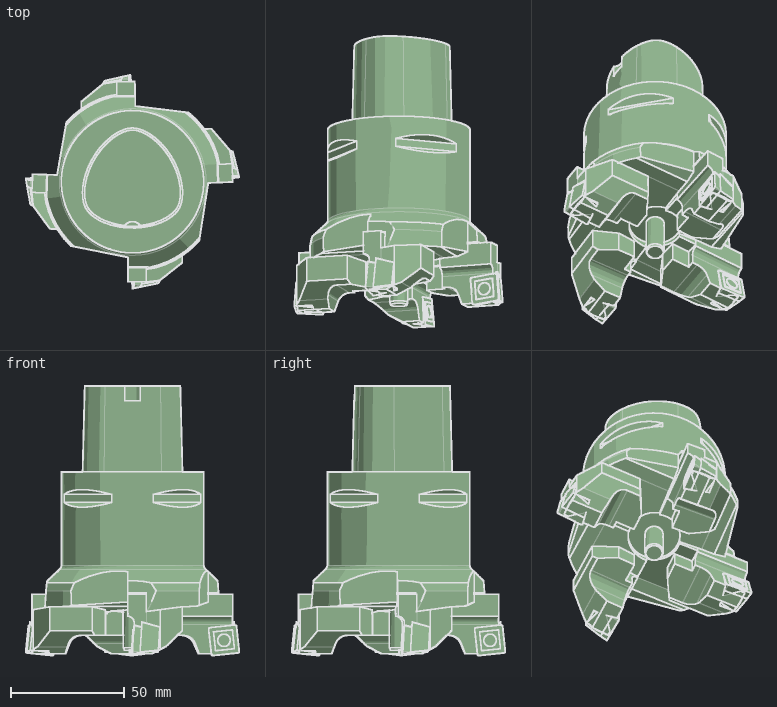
import cadquery as cq
import math

tooth_angles = [0.0, 92.4, 181.2, 268.2]
mean_pitch = 360 / len(tooth_angles)
gullet_angles = [11.3, 11.3, 8.2, 8.2]

shank_length = 38.0
shank_mean_radius = 22.12
shank_eccentricity = 1.65
shank_taper = 1 / 40
lobe_pitch = 120
lobe_half_angle = 37.0
spline_steps = 8
key_notch_diameter = 8.01
key_notch_depth = 6.6
key_notch_center_y = -21.6

neck_radius = 63 / 2
neck_end_z = -41.2
flange_fillet_end = (32.45, -43.1)
flange_fillet_middle = (31.75, -42.2)
flange_cone_end = (38.55, -49.0)
flange_edge = (39.35, -52.5)
flange_foot = (39.1, -63.0)

groove_count = 4
groove_start_angle = 45
groove_flat_distance = 27.8
groove_flat_top_z = -10.0
groove_flat_bottom_z = -13.5
groove_flank_angle = 30.0

post_diameter = 8.01
post_bottom_z = -78.8
post_tip_width = 0.4
post_tip_length = 1.1
bore_diameter = 23.0
bore_top_z = -59.5

underside = [(-2.0, -62.8), (22.0, -59.6), (28.3, -59.4), (33.5, -57.5), (42.0, -54.4)]
underside_overreach = 5.0

face_x = -2.0
gullet_start_y = -33.45
seat_flat_head = (37.1, -41.2)
seat_flat_foot = (38.75, -63.0)
seat_flat_width = 14.0
slot_top_z = -53.4

key_top_z = -54.0
key_width = 8.1
cartridge_inner_radius = 20.2
cartridge_outer_radius = 44.3
cartridge_bottom_z = -80.4
heel_bend = (12.2, 43.5)
heel_end = (22.0, 35.8)
heel_inner_radius = 17.2
inner_wall_radius = 11.7
inner_wall_ends = (3.9, 11.7)
heel_chamfer = [(22.0, -70.2), (14.8, -77.2), (8.6, -80.4)]
chip_face_x = 0.75
chip_step_z = -63.8
chip_step_middle = (-0.1, -64.7)
chip_step_foot_z = -67.3
recess_arc_start = (22.5, -72.3)
recess_arc_middle = (25.9, -73.4)
recess_arc_end = (27.7, -75.7)
recess_foot_radius = 29.5

insert_side = 12.5
insert_corner_radius = 0.8
insert_thickness = 3.4
insert_relief_angle = 11.0
insert_center = (0.26, -40.45, -74.44)
insert_turn = 6.0
insert_tilt = 3.6
land_side = 8.4
land_height = 0.4
dimple_diameter = 5.5
dimple_depth = 0.2
support_rise = 2.2
support_depth = 8.0

far = 60.0
floor_z = -90.0
clearance = 1.0


def turned(shape, angle):
    """Turn a shape described at the -Y side about the Z axis."""
    return shape.rotate((0, 0, 0), (0, 0, 1), angle)


def outward(x, radius):
    """Plan point of the -Y tooth, given by x and the distance outward from the axis."""
    return (x, -radius)


def plan_block(points, z_low, z_high):
    return cq.Workplane("XY").workplane(offset=z_low).polyline(points).close().extrude(z_high - z_low)


def side_block(points, x_low, x_high):
    """Extrude an outline of (distance outward, z) points along x."""
    outline = [(-radius, z) for radius, z in points]
    return cq.Workplane("YZ").workplane(offset=x_low).polyline(outline).close().extrude(x_high - x_low)


def key_plan(outer_radius):
    """Plan of the upright cartridge key, and of its slot in the flange."""
    return [
        outward(face_x, cartridge_inner_radius),
        outward(face_x, outer_radius),
        outward(face_x + key_width, outer_radius),
        outward(face_x + key_width, cartridge_inner_radius),
    ]


def below_underside(pitch):
    """Space under the sloped flange underside, from one tooth face to the next face at the given pitch."""
    wedge = (
        cq.Workplane("XZ")
        .workplane(offset=-underside_overreach)
        .polyline([(underside[0][0], floor_z), *underside, (underside[-1][0], floor_z)])
        .close()
        .extrude(far + underside_overreach)
    )
    behind_next_face = plan_block(
        [(face_x, -2 * far), (2 * far, -2 * far), (2 * far, 2 * far), (face_x, 2 * far)], floor_z, 0
    )
    return wedge.cut(turned(behind_next_face, pitch))


def polygon_point(mean_radius, angle, z):
    """Point of the three-lobed curve with one lobe on +Y; angle is that of the normal, from +Y."""
    e = shank_eccentricity
    along = mean_radius * math.cos(angle) + 2 * e * math.cos(2 * angle) - e * math.cos(4 * angle)
    across = mean_radius * math.sin(angle) - 2 * e * math.sin(2 * angle) - e * math.sin(4 * angle)
    return cq.Vector(-across, along, z)


def polygon_edge(start, end, z):
    mean_radius = shank_mean_radius - shank_taper * z
    angles = [math.radians(start + (end - start) * i / spline_steps) for i in range(spline_steps + 1)]
    ends = [cq.Vector(-math.cos(a), -math.sin(a), 0) for a in (angles[0], angles[-1])]
    return cq.Edge.makeSpline([polygon_point(mean_radius, a, z) for a in angles], tangents=ends)


def polygon_wire(z):
    edges = []
    for lobe in range(0, 360, lobe_pitch):
        edges.append(polygon_edge(lobe - lobe_half_angle, lobe + lobe_half_angle, z))
        edges.append(polygon_edge(lobe + lobe_half_angle, lobe + lobe_pitch - lobe_half_angle, z))
    return cq.Wire.assembleEdges(edges)


def make_shank():
    shank = cq.Workplane(cq.Solid.makeLoft([polygon_wire(0), polygon_wire(shank_length)], True))
    notch = (
        cq.Workplane("XY")
        .workplane(offset=shank_length - key_notch_depth)
        .center(0, key_notch_center_y)
        .circle(key_notch_diameter / 2)
        .extrude(key_notch_depth)
    )
    return shank.cut(notch)


def make_neck_and_flange():
    return (
        cq.Workplane("XZ")
        .moveTo(0, 0)
        .lineTo(neck_radius, 0)
        .lineTo(neck_radius, neck_end_z)
        .threePointArc(flange_fillet_middle, flange_fillet_end)
        .lineTo(*flange_cone_end)
        .lineTo(*flange_edge)
        .lineTo(*flange_foot)
        .lineTo(0, flange_foot[1])
        .close()
        .revolve(360, (0, 0, 0), (0, 1, 0))
    )


def make_gripper_groove():
    reach = neck_radius + clearance
    flare = (reach - groove_flat_distance) * math.tan(math.radians(groove_flank_angle))
    outline = [
        (groove_flat_distance, groove_flat_top_z),
        (reach, groove_flat_top_z + flare),
        (reach, groove_flat_bottom_z - flare),
        (groove_flat_distance, groove_flat_bottom_z),
    ]
    return side_block(outline, -neck_radius, neck_radius)


def make_gullet(gullet_angle):
    rise = far * math.tan(math.radians(gullet_angle))
    points = [
        (face_x, gullet_start_y),
        (face_x - far, gullet_start_y + rise),
        (face_x - far, -far),
        (face_x, -far),
    ]
    return plan_block(points, floor_z, neck_end_z)


def make_cartridge_seat():
    flat = [
        seat_flat_head,
        seat_flat_foot,
        (far, seat_flat_foot[1]),
        (far, seat_flat_head[1]),
    ]
    seat = side_block(flat, face_x, face_x + seat_flat_width)
    return seat.union(plan_block(key_plan(far), flange_foot[1], slot_top_z))


def make_body():
    flange = make_neck_and_flange()
    for i in range(groove_count):
        flange = flange.cut(turned(make_gripper_groove(), groove_start_angle + i * 360 / groove_count))
    for i, angle in enumerate(tooth_angles):
        pitch = (tooth_angles[(i + 1) % len(tooth_angles)] - angle) % 360
        flange = flange.cut(turned(make_gullet(gullet_angles[i]), angle))
        flange = flange.cut(turned(make_cartridge_seat(), angle))
        flange = flange.cut(turned(below_underside(pitch), angle))
    post = (
        cq.Workplane("XY")
        .workplane(offset=post_bottom_z)
        .circle(post_diameter / 2)
        .extrude(bore_top_z - post_bottom_z)
        .faces("<Z")
        .chamfer(post_tip_length, post_tip_width)
    )
    bore = (
        cq.Workplane("XY")
        .workplane(offset=flange_foot[1])
        .circle(bore_diameter / 2)
        .extrude(bore_top_z - flange_foot[1])
    )
    return flange.cut(bore).union(make_shank()).union(post)


def insert_plane():
    """Plane of the cutting face: x points outward, y up, and the normal against the cut."""
    plane = cq.Plane(origin=insert_center, xDir=(0, -1, 0), normal=(-1, 0, 0))
    return plane.rotated((-insert_tilt, 0, insert_turn))


def make_insert_blank():
    """Rounded square that narrows from the cutting face backward."""
    return (
        cq.Workplane(insert_plane())
        .sketch()
        .rect(insert_side, insert_side)
        .vertices()
        .fillet(insert_corner_radius)
        .finalize()
        .extrude(-insert_thickness, taper=insert_relief_angle)
    )


def make_insert():
    land = cq.Workplane(insert_plane()).rect(land_side, land_side).extrude(land_height)
    dimple = (
        cq.Workplane(insert_plane())
        .workplane(offset=land_height - dimple_depth)
        .circle(dimple_diameter / 2)
        .extrude(dimple_depth)
    )
    return make_insert_blank().union(land).cut(dimple)


def make_cartridge_blank():
    foot = [
        outward(face_x, cartridge_inner_radius),
        outward(face_x, cartridge_outer_radius),
        outward(face_x + key_width, cartridge_outer_radius),
        outward(*heel_bend),
        outward(*heel_end),
        outward(heel_end[0], heel_inner_radius),
        outward(inner_wall_ends[1], inner_wall_radius),
        outward(inner_wall_ends[0], inner_wall_radius),
        outward(inner_wall_ends[0], cartridge_inner_radius),
    ]
    blank = plan_block(foot, cartridge_bottom_z, key_top_z).intersect(below_underside(mean_pitch))
    return blank.union(plan_block(key_plan(cartridge_outer_radius), chip_step_z, key_top_z))


def make_chip_step():
    """Clearance in front of the insert; its upper inside corner is rounded."""
    return (
        cq.Workplane("XZ")
        .moveTo(face_x, chip_step_z)
        .threePointArc(chip_step_middle, (chip_face_x, chip_step_foot_z))
        .lineTo(chip_face_x, floor_z)
        .lineTo(face_x - clearance, floor_z)
        .lineTo(face_x - clearance, chip_step_z)
        .close()
        .extrude(far)
    )


def make_heel_chamfer():
    corner = (heel_chamfer[0][0], heel_chamfer[-1][1])
    return cq.Workplane("XZ").polyline([*heel_chamfer, corner]).close().extrude(far)


def make_recess():
    """Hollow at the inner foot; its roof runs into the steep wall through an arc."""
    return (
        cq.Workplane("YZ")
        .workplane(offset=face_x)
        .moveTo(0, recess_arc_start[1])
        .lineTo(-recess_arc_start[0], recess_arc_start[1])
        .threePointArc(
            (-recess_arc_middle[0], recess_arc_middle[1]),
            (-recess_arc_end[0], recess_arc_end[1]),
        )
        .lineTo(-recess_foot_radius, cartridge_bottom_z)
        .lineTo(0, cartridge_bottom_z)
        .close()
        .extrude(far)
    )


def make_insert_support():
    """Block behind the insert that carries the slope of the insert flanks on."""
    side = insert_side - 2 * insert_thickness * math.tan(math.radians(insert_relief_angle))
    return (
        cq.Workplane(insert_plane())
        .workplane(offset=-insert_thickness)
        .center(0, support_rise / 2)
        .rect(side, side + support_rise)
        .extrude(-support_depth, taper=insert_relief_angle)
    )


def make_cartridge():
    cartridge = make_cartridge_blank().cut(make_recess()).cut(make_chip_step()).cut(make_heel_chamfer())
    return cartridge.union(make_insert_support()).cut(make_insert_blank())


body = make_body()
cartridge = make_cartridge()
insert = make_insert()
cartridges = [turned(cartridge, angle).solids().val() for angle in tooth_angles]
inserts = [turned(insert, angle).solids().val() for angle in tooth_angles]

result = cq.Compound.makeCompound([body.solids().val(), *cartridges, *inserts])